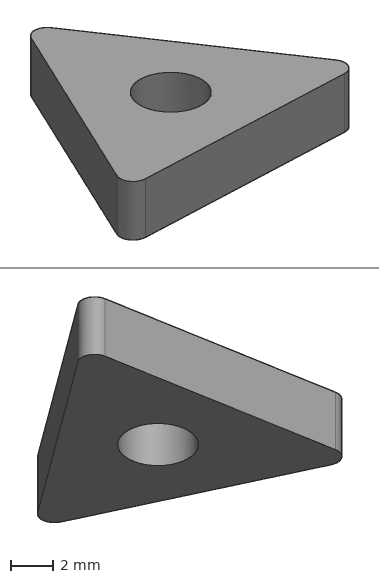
import cadquery as cq
import math

width = 15.34
thickness = 3.18
corner_radius = 0.8
hole_diameter = 3.8

centre_spacing = width - 2 * corner_radius
centre_circle_radius = centre_spacing / math.sqrt(3)

sharp_circle_radius = centre_circle_radius + 2 * corner_radius


def sharp_corner(angle_degrees):
    angle = math.radians(angle_degrees)
    return (sharp_circle_radius * math.cos(angle), sharp_circle_radius * math.sin(angle))


corners = [sharp_corner(angle) for angle in (90, 210, 330)]
body = cq.Workplane("XY").polyline(corners).close().extrude(thickness)
body = body.edges("|Z").fillet(corner_radius)

result = body.faces(">Z").workplane(origin=(0, 0, thickness)).hole(hole_diameter)